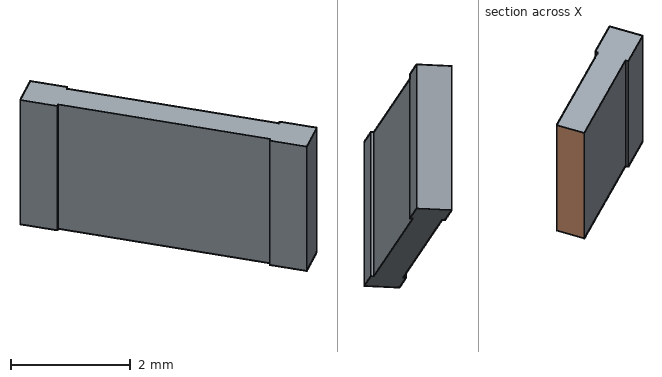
import cadquery as cq

length = 5.0
thickness = 0.6
height = 2.5

terminal_length = 0.65
terminal_step = 0.05

body_length = length - 2 * terminal_length
body_thickness = thickness - 2 * terminal_step
terminal_offset = (length - terminal_length) / 2

body = cq.Workplane("XY").box(body_length, body_thickness, height)

terminals = (
    cq.Workplane("XY")
    .pushPoints([(-terminal_offset, 0), (terminal_offset, 0)])
    .box(terminal_length, thickness, height)
)

result = body.union(terminals)